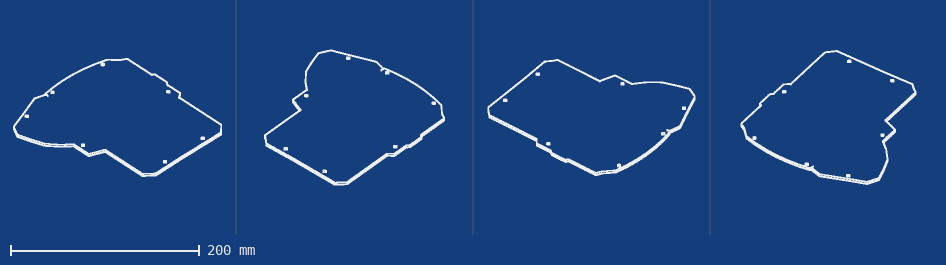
import cadquery as cq

length = 179.0
width = 174.0
thickness = 3.0
hole_diameter = 3.0

shoulder_y = 171.3
upper_edge_y = 165.4
lower_edge_y = 48.7
step_y = 31.3

bow_top = (8.0, 154.6)
bow_middle = (0, 101.1)
bow_bottom = (2.7, 69.0)

right_bend = (length - 0.5, 95.8)

upper_corner = [
    (18.5, 165.0),
    (22.0, shoulder_y),
]

raised_tab = [
    (59.5, shoulder_y),
    (60.7, width),
    (79.3, width),
    (82.9, shoulder_y),
]

right_block = [
    (101.8, shoulder_y),
    (106.1, upper_edge_y),
    (170.0, upper_edge_y),
    (length, 156.3),
    right_bend,
    (length, 59.0),
    (172.5, 52.3),
    (170.2, lower_edge_y),
]

lower_step = [
    (113.3, lower_edge_y),
    (106.3, step_y),
    (83.4, step_y),
]

lower_lobe = [
    (74.1, 20.5),
    (61.5, 10.2),
    (44.4, 4.1),
    (30.5, 0),
    (18.0, 6.6),
    (11.1, 26.1),
    (0.2, 55.1),
]

side_notch = [
    (3.5, 67.1),
    (4.7, 68.0),
    (6.8, 68.4),
    bow_bottom,
]

hole_centers = [
    (10.5, 146.2),
    (91.6, 164.0),
    (172.2, 135.7),
    (171.8, 80.0),
    (91.5, 37.4),
    (15.4, 28.8),
    (6.3, 75.9),
]


def make_plate():
    """Extrude the outline, clockwise from the top of the bowed side."""
    outline = cq.Workplane("XY").moveTo(*bow_top)
    for stretch in (upper_corner, raised_tab, right_block, lower_step, lower_lobe, side_notch):
        for point in stretch:
            outline = outline.lineTo(*point)
    return outline.threePointArc(bow_middle, bow_top).close().extrude(thickness)


def make_holes():
    """Cylinders for the mounting holes through the full thickness."""
    return cq.Workplane("XY").pushPoints(hole_centers).circle(hole_diameter / 2).extrude(thickness)


result = make_plate().cut(make_holes())